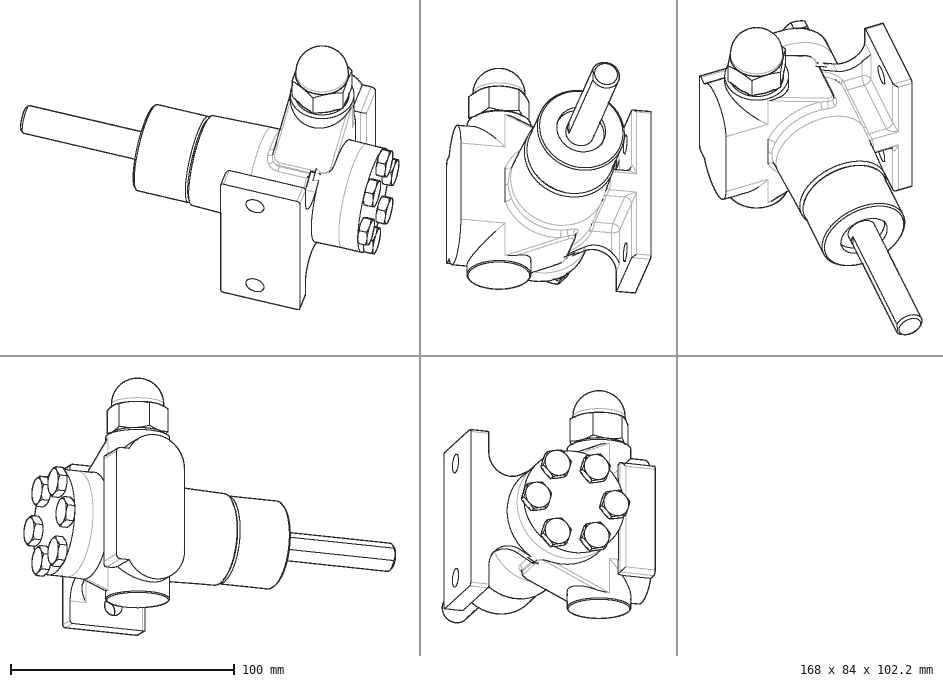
import cadquery as cq
import math


shaft_radius = 6.4
shaft_chamfer = 1.2
flat_y = 5.7
flat_length = 56.1
collar_radius = 19.8
collar_start = 57.0
collar_end = 82.5
collar_chamfer = 0.8
bore_radius = 11.1
bore_depth = 3.4

groove_radius = 16.0
groove_width = 1.0
body_start_radius = 20.7
body_end_radius = 21.5
taper_end = 110.9
housing_radius = 24.2
housing_start = 139.5
housing_end = 154.8
cover_radius = 23.9
cover_end = 163.7

bolt_count = 6
bolt_circle_radius = 18.5
bolt_across_flats = 11.8
bolt_turn = 13.0
total_length = 168.0
bolt_height = total_length - cover_end
bolt_chamfer = 0.5

port_x = 132.6
port_y = 22.5
port_radius = 14.3
port_top = 36.8
port_bottom = -38.3
port_edge_chamfer = 0.5
rear_y = 42.7
rear_port_offset = 19.0
block_start = port_x - port_radius
block_end = port_x + port_radius
block_front_y = -10.3
block_corner_radius = 4.2
block_edge_radius = 1.2
block_foot_radius = 2.5
selection_margin = 0.08

block_slope = math.radians(24)
web_slope = math.radians(29)
slope_height_at_port = 36.5

pad_end = 151.4
pad_front_y = 26.7
pad_half_height = 25.7
pad_edge_radius = 2.0

flange_face_y = -41.3
flange_back_y = -32.8
flange_start = 104.9
flange_end = 142.0
flange_half_height = 36.8
flange_corner_radius = 1.3
flange_edge_radius = 2.0
flange_hole_diameter = 8.4
flange_hole_x = 121.0
flange_hole_z = 26.9
rib_half_thickness = 6.5
web_thickness = 4.7
web_start = flange_end - web_thickness
web_arc_radius = 10.0
mount_root_radius = 3.0
mount_foot_radius = 1.5
mount_foot_inner_y = 8.4
mount_foot_half_height = 19.3

cap_seat_radius = 12.1
nut_bottom = 38.3
nut_top = 50.4
nut_across_flats = 23.9
nut_chamfer = 0.8
dome_radius = 11.8
cap_top = 63.9


def block_z(y):
    """Height of the block's sloping side above the shaft axis at a given Y."""
    return slope_height_at_port + (y - port_y) * math.tan(block_slope)


def web_z(y):
    """Height of the web's sloping edge, which starts at the front of the block."""
    return block_z(block_front_y) + (y - block_front_y) * math.tan(web_slope)


def hex_head(across_flats, height, chamfer):
    """Hexagon along +Z from Z = 0, corners on X, its corners turned back at both ends."""
    flat_radius = across_flats / 2
    corner_radius = flat_radius / math.cos(math.pi / 6)
    prism = cq.Workplane("XY").polygon(6, 2 * corner_radius).extrude(height)
    turned = (
        cq.Workplane("XZ")
        .moveTo(0, 0)
        .lineTo(flat_radius, 0)
        .lineTo(corner_radius, chamfer)
        .lineTo(corner_radius, height - chamfer)
        .lineTo(flat_radius, height)
        .lineTo(0, height)
        .close()
        .revolve(360, (0, 0, 0), (0, 1, 0))
    )
    return prism.intersect(turned)


def make_port_block():
    """Block with sloping sides, wide at the rear ports and narrow at the front."""
    front_z = block_z(block_front_y)
    block = (
        cq.Workplane("YZ", origin=(block_start, 0, 0))
        .moveTo(port_y, slope_height_at_port)
        .lineTo(block_front_y, front_z)
        .lineTo(block_front_y, -front_z)
        .lineTo(port_y, -slope_height_at_port)
        .close()
        .extrude(block_end - block_start)
    )
    block = block.edges("|Z and <Y").fillet(block_corner_radius)
    return block.faces("<X or >X").edges("not |Z").fillet(block_edge_radius)


def make_turned_body():
    """Bearing body, pump housing and cover, all round about the shaft axis."""
    body_start = collar_end + groove_width
    return (
        cq.Workplane("XY")
        .moveTo(collar_end, 0)
        .lineTo(collar_end, groove_radius)
        .lineTo(body_start, groove_radius)
        .lineTo(body_start, body_start_radius)
        .lineTo(taper_end, body_end_radius)
        .lineTo(housing_start, body_end_radius)
        .lineTo(housing_start, housing_radius)
        .lineTo(housing_end, cover_radius)
        .lineTo(cover_end, cover_radius)
        .lineTo(cover_end, 0)
        .close()
        .revolve(360, (0, 0, 0), (1, 0, 0))
    )


def make_shaft_and_collar():
    """Collar with a shallow recess, and the flatted shaft that runs out of it."""
    collar = (
        cq.Workplane("YZ", origin=(collar_start, 0, 0))
        .circle(collar_radius)
        .extrude(collar_end - collar_start)
        .edges()
        .chamfer(collar_chamfer)
    )
    recess = cq.Workplane("YZ", origin=(collar_start, 0, 0)).circle(bore_radius).extrude(bore_depth)
    shaft = cq.Workplane("YZ").circle(shaft_radius).extrude(collar_end).faces("<X").chamfer(shaft_chamfer)
    flat = (
        cq.Workplane("XY")
        .box(flat_length, shaft_radius, 2 * shaft_radius, centered=(False, False, True))
        .translate((0, flat_y, 0))
    )
    return collar.cut(recess).union(shaft.cut(flat))


def make_bolts():
    """Ring of hexagon bolt heads on the cover."""
    head = hex_head(bolt_across_flats, bolt_height, bolt_chamfer)
    head = head.rotate((0, 0, 0), (0, 0, 1), 90 + bolt_turn).rotate((0, 0, 0), (0, 1, 0), 90)
    bolts = cq.Workplane("XY")
    for index in range(bolt_count):
        angle = 2 * math.pi * index / bolt_count
        y = bolt_circle_radius * math.cos(angle)
        z = bolt_circle_radius * math.sin(angle)
        bolts = bolts.add(head.translate((cover_end, y, z)))
    return bolts.combine()


def make_ports():
    """Vertical port through the block, rear port of slot shape, and the pad beside it."""
    vertical = (
        cq.Workplane("XY", origin=(port_x, port_y, port_bottom))
        .circle(port_radius)
        .extrude(port_top - port_bottom)
        .faces("<Z")
        .chamfer(port_edge_chamfer)
    )
    rear = (
        cq.Workplane("XZ", origin=(port_x, rear_y, 0))
        .slot2D(2 * (rear_port_offset + port_radius), 2 * port_radius, 90)
        .extrude(rear_y - port_y)
    )
    pad = (
        cq.Workplane("XY")
        .box(pad_end - port_x, rear_y - pad_front_y, 2 * pad_half_height, centered=(False, False, True))
        .translate((port_x, pad_front_y, 0))
        .edges(">X and (<Y or |Y)")
        .fillet(pad_edge_radius)
    )
    return vertical.union(rear).union(pad)


def make_mount():
    """Flange plate with two holes, joined to the body by a rib and an arched web."""
    length = flange_end - flange_start
    plate_and_rib = (
        cq.Workplane("YZ", origin=(flange_start, 0, 0))
        .moveTo(flange_face_y, -flange_half_height)
        .lineTo(flange_back_y, -flange_half_height)
        .lineTo(flange_back_y, -rib_half_thickness)
        .lineTo(0, -rib_half_thickness)
        .lineTo(0, rib_half_thickness)
        .lineTo(flange_back_y, rib_half_thickness)
        .lineTo(flange_back_y, flange_half_height)
        .lineTo(flange_face_y, flange_half_height)
        .close()
        .extrude(length)
    )
    back_edges = cq.selectors.BoxSelector(
        (flange_start - selection_margin, flange_back_y - selection_margin, -flange_half_height),
        (flange_start + selection_margin, -selection_margin, flange_half_height),
    )
    plate_and_rib = plate_and_rib.edges(back_edges).fillet(flange_edge_radius)
    outline = (
        cq.Workplane("XZ", origin=(flange_start + length / 2, 0, 0))
        .rect(length, 2 * flange_half_height)
        .extrude(-flange_face_y)
        .edges("|Y")
        .fillet(flange_corner_radius)
    )
    plate_and_rib = plate_and_rib.intersect(outline)

    web = (
        cq.Workplane("XY")
        .box(web_thickness, -flange_back_y, 2 * flange_half_height, centered=(False, False, True))
        .translate((web_start, flange_back_y, 0))
    )
    rib_root = cq.selectors.BoxSelector(
        (flange_start, flange_back_y - selection_margin, -rib_half_thickness - selection_margin),
        (flange_end, flange_back_y + selection_margin, rib_half_thickness + selection_margin),
    )
    web_root = cq.selectors.BoxSelector(
        (web_start - selection_margin, flange_back_y - selection_margin, -flange_half_height),
        (web_start + selection_margin, -selection_margin, flange_half_height),
    )
    mount = plate_and_rib.union(web)
    root_edges = mount.edges(rib_root).edges("|X").vals() + mount.edges(web_root).vals()
    mount = mount.newObject(root_edges).fillet(mount_root_radius)

    arc_y = flange_back_y + web_arc_radius
    arc_z = web_z(arc_y) + web_arc_radius / math.cos(web_slope)
    touch_y = arc_y + web_arc_radius * math.sin(web_slope)
    middle = (web_slope + math.pi / 2) / 2
    middle_y = arc_y - web_arc_radius * math.cos(middle)
    middle_z = arc_z - web_arc_radius * math.sin(middle)
    throat = (
        cq.Workplane("YZ", origin=(flange_start, 0, 0))
        .moveTo(flange_back_y, arc_z)
        .threePointArc((middle_y, middle_z), (touch_y, web_z(touch_y)))
        .lineTo(block_front_y, block_z(block_front_y))
        .lineTo(0, block_z(block_front_y))
        .lineTo(0, 2 * flange_half_height)
        .lineTo(flange_back_y, 2 * flange_half_height)
        .close()
        .extrude(length)
    )
    holes = (
        cq.Workplane("XZ", origin=(flange_hole_x, flange_back_y, 0))
        .pushPoints([(0, flange_hole_z), (0, -flange_hole_z)])
        .circle(flange_hole_diameter / 2)
        .extrude(flange_back_y - flange_face_y)
    )
    return mount.cut(throat).cut(throat.mirror("XY")).cut(holes)


def make_cap():
    """Relief valve cap: seat, hexagon and dome standing on the vertical port."""
    dome_center = cap_top - dome_radius
    nut_height = nut_top - nut_bottom
    seat = cq.Workplane("XY", origin=(0, 0, port_top)).circle(cap_seat_radius).extrude(nut_bottom - port_top)
    nut = hex_head(nut_across_flats, nut_height, nut_chamfer)
    nut = nut.rotate((0, 0, 0), (0, 0, 1), 90).translate((0, 0, nut_bottom))
    neck = cq.Workplane("XY", origin=(0, 0, nut_bottom)).circle(dome_radius).extrude(dome_center - nut_bottom)
    dome = cq.Workplane("XY", origin=(0, 0, dome_center)).sphere(dome_radius)
    return seat.union(nut).union(neck).union(dome).translate((port_x, port_y, 0))


def body_with_mount():
    """Turned body and mount, with a fillet where the rib and the web rise from the body."""
    casting = make_turned_body().union(make_mount())
    mount_foot = cq.selectors.BoxSelector(
        (flange_start - selection_margin, -body_end_radius, -mount_foot_half_height),
        (web_start + selection_margin, -mount_foot_inner_y, mount_foot_half_height),
    )
    return casting.edges(mount_foot).fillet(mount_foot_radius)


def body_with_block():
    """Turned body and port block, with a fillet where the block rises from the body."""
    casting = make_turned_body().union(make_port_block())
    block_foot = cq.selectors.BoxSelector(
        (block_start - selection_margin, -housing_radius, -housing_radius),
        (block_start + selection_margin, housing_radius, housing_radius),
    )
    return casting.edges(block_foot).edges("%CIRCLE").fillet(block_foot_radius)


result = body_with_mount().union(body_with_block()).union(make_ports())
result = result.union(make_shaft_and_collar()).union(make_bolts()).union(make_cap())